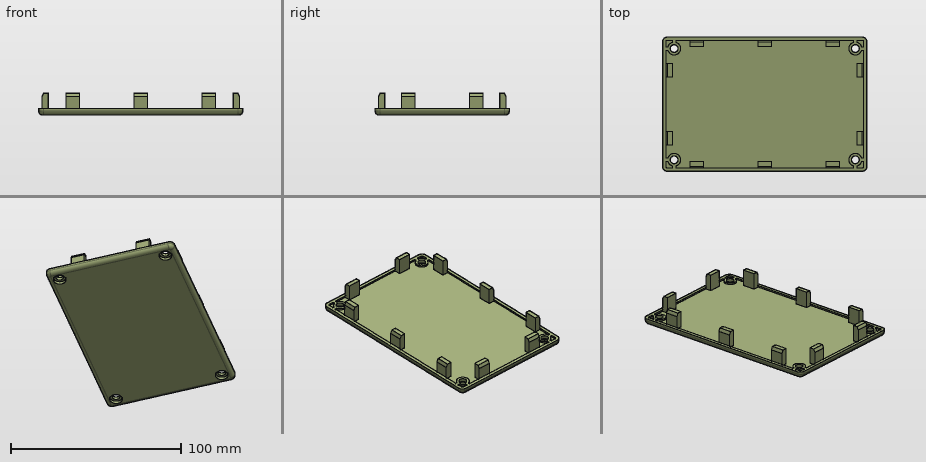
import cadquery as cq

length = 120.0
width = 79.0
height = 13.0
plate_thickness = 4.0
corner_radius = 3.0
bottom_fillet = 2.5

rim_width = 2.0
recess_depth = 1.0
recess_corner_radius = 0.6

hole_inset = 6.8
hole_diameter = 4.5
boss_diameter = 7.5
rib_width = 2.0
counterbore_diameter = 7.5
counterbore_depth = 1.9

tab_inset = rim_width
tab_width = 8.0
tab_thickness = 3.7
tab_spacing = 40.0
tab_chamfer_width = 1.0
tab_chamfer_height = 1.9

floor_z = plate_thickness - recess_depth
hole_x = length / 2 - hole_inset
hole_y = width / 2 - hole_inset
SIDES = (-1, 1)


def make_plate():
    """Rounded plate with a rounded lower edge and a shallow recess on top."""
    plate = (
        cq.Workplane("XY")
        .rect(length, width)
        .extrude(plate_thickness)
        .edges("|Z")
        .fillet(corner_radius)
        .faces("<Z")
        .edges()
        .fillet(bottom_fillet)
    )
    recess = (
        cq.Workplane("XY", origin=(0, 0, floor_z))
        .rect(length - 2 * rim_width, width - 2 * rim_width)
        .extrude(recess_depth)
        .edges("|Z")
        .fillet(recess_corner_radius)
    )
    return plate.cut(recess)


def make_boss(x_side, y_side):
    """Boss flush with the rim, with one rib to each of the two nearest rim walls."""
    center_x = x_side * hole_x
    center_y = y_side * hole_y
    rib_length = hole_inset - rim_width / 2
    base = cq.Workplane("XY", origin=(center_x, center_y, floor_z))
    boss = base.circle(boss_diameter / 2).extrude(recess_depth)
    rib_to_side = base.center(x_side * rib_length / 2, 0).rect(rib_length, rib_width).extrude(recess_depth)
    rib_to_end = base.center(0, y_side * rib_length / 2).rect(rib_width, rib_length).extrude(recess_depth)
    return boss.union(rib_to_side).union(rib_to_end)


def make_tab(edge_distance, offset, angle):
    """Tab facing an edge at edge_distance from the center, turned about Z by angle.

    At angle 0 the tab faces +X; its outer top edge is chamfered as a lead-in.
    """
    outer = edge_distance - tab_inset
    inner = outer - tab_thickness
    profile = [
        (inner, floor_z),
        (outer, floor_z),
        (outer, height - tab_chamfer_height),
        (outer - tab_chamfer_width, height),
        (inner, height),
    ]
    tab = cq.Workplane("XZ").polyline(profile).close().extrude(tab_width / 2, both=True)
    return tab.translate((0, offset, 0)).rotate((0, 0, 0), (0, 0, 1), angle)


def make_screw_holes():
    """Through holes in the bosses, counterbored from the underside."""
    centers = [(x_side * hole_x, y_side * hole_y) for x_side in SIDES for y_side in SIDES]
    base = cq.Workplane("XY").pushPoints(centers)
    holes = base.circle(hole_diameter / 2).extrude(plate_thickness)
    counterbores = base.circle(counterbore_diameter / 2).extrude(counterbore_depth)
    return holes.union(counterbores)


result = make_plate()

for x_side in SIDES:
    for y_side in SIDES:
        result = result.union(make_boss(x_side, y_side))

for angle in (90, 270):
    for step in (-1, 0, 1):
        result = result.union(make_tab(width / 2, step * tab_spacing, angle))

for angle in (0, 180):
    for step in (-0.5, 0.5):
        result = result.union(make_tab(length / 2, step * tab_spacing, angle))

result = result.cut(make_screw_holes())